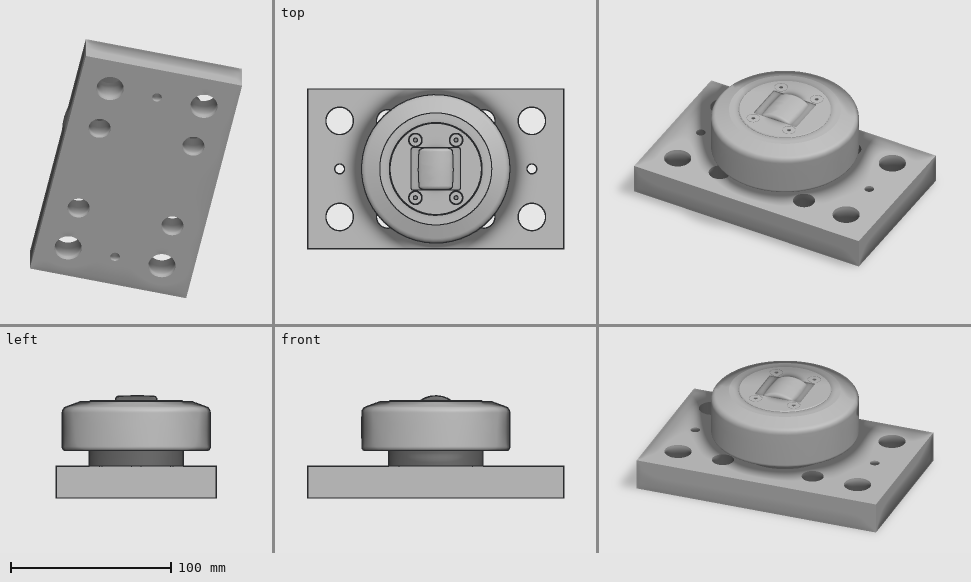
import cadquery as cq
import math

PLATE_LENGTH = 160.0
PLATE_WIDTH = 100.0
PLATE_THICKNESS = 20.0
OUTER_HOLE_DIAMETER = 17.0
OUTER_HOLE_X = 60.0
INNER_HOLE_DIAMETER = 13.84
INNER_HOLE_X = 30.0
HOLE_ROW_Y = 30.0
PIN_HOLE_DIAMETER = 6.0

NECK_DIAMETER = 59.0
ROLLER_DIAMETER = 92.5
ROLLER_BOTTOM_Z = 29.6
ROLLER_TOP_Z = 60.2
TOP_FACE_DIAMETER = 70.0
CROWN_RADIUS = 500.0
TOP_CONE_ANGLE = math.radians(20.0)
SHOULDER_RADIUS = 4.0
BOTTOM_EDGE_RADIUS = 2.4

COVER_DIAMETER = 58.0
COVER_TOP_Z = 61.0
COVER_CHAMFER = 0.5

WINDOW_LENGTH = 30.6
WINDOW_WIDTH = 26.6
WINDOW_CORNER_RADIUS = 1.0
WINDOW_DEPTH = 1.0
SIDE_ROLLER_RADIUS = 17.0
SIDE_ROLLER_FACE_WIDTH = 21.4
SIDE_ROLLER_EDGE_RADIUS = 2.3
SIDE_ROLLER_CROWN_RADIUS = 200.0
SIDE_ROLLER_TOP_Z = 64.0

SCREW_X = 12.7
SCREW_Y = 18.0
SCREW_HEAD_DIAMETER = 7.8
SCREW_SEAT_DIAMETER = 8.5
SCREW_SEAT_DEPTH = 0.3
SCREW_SOCKET_DIAMETER = 2.5
SCREW_SOCKET_DEPTH = 1.5


def mirrored_points(x, y):
    """Four points placed symmetrically about both axes."""
    return [(sx * x, sy * y) for sx in (-1, 1) for sy in (-1, 1)]


def cylinder(diameter, bottom_z, top_z, points=((0, 0),)):
    """Vertical cylinders between two heights at the given points."""
    return (
        cq.Workplane("XY", origin=(0, 0, bottom_z))
        .pushPoints(points)
        .circle(diameter / 2)
        .extrude(top_z - bottom_z)
    )


def base_plate():
    plate = cq.Workplane("XY").box(
        PLATE_LENGTH, PLATE_WIDTH, PLATE_THICKNESS, centered=(True, True, False)
    )
    outer_points = mirrored_points(OUTER_HOLE_X, HOLE_ROW_Y)
    inner_points = mirrored_points(INNER_HOLE_X, HOLE_ROW_Y)
    pin_points = [(-OUTER_HOLE_X, 0), (OUTER_HOLE_X, 0)]
    plate = plate.cut(cylinder(OUTER_HOLE_DIAMETER, 0, PLATE_THICKNESS, outer_points))
    plate = plate.cut(cylinder(INNER_HOLE_DIAMETER, 0, PLATE_THICKNESS, inner_points))
    return plate.cut(cylinder(PIN_HOLE_DIAMETER, 0, PLATE_THICKNESS, pin_points))


def main_roller():
    """Crowned roller with a rounded bottom edge and a rounded, conical top shoulder."""
    radius = ROLLER_DIAMETER / 2
    top_face_radius = TOP_FACE_DIAMETER / 2

    arc_center_r = radius - SHOULDER_RADIUS
    cone_end_r = arc_center_r + SHOULDER_RADIUS * math.sin(TOP_CONE_ANGLE)
    cone_end_z = ROLLER_TOP_Z - (cone_end_r - top_face_radius) * math.tan(TOP_CONE_ANGLE)
    arc_center_z = cone_end_z - SHOULDER_RADIUS * math.cos(TOP_CONE_ANGLE)
    middle_angle = math.pi / 4 - TOP_CONE_ANGLE / 2
    arc_middle = (
        arc_center_r + SHOULDER_RADIUS * math.cos(middle_angle),
        arc_center_z + SHOULDER_RADIUS * math.sin(middle_angle),
    )

    bottom_arc_end = (radius, ROLLER_BOTTOM_Z + BOTTOM_EDGE_RADIUS)
    profile = (
        cq.Workplane("XZ")
        .moveTo(0, ROLLER_BOTTOM_Z)
        .lineTo(radius - BOTTOM_EDGE_RADIUS, ROLLER_BOTTOM_Z)
        .radiusArc(bottom_arc_end, -BOTTOM_EDGE_RADIUS)
        .radiusArc((radius, arc_center_z), -CROWN_RADIUS)
        .threePointArc(arc_middle, (cone_end_r, cone_end_z))
        .lineTo(top_face_radius, ROLLER_TOP_Z)
        .lineTo(0, ROLLER_TOP_Z)
        .close()
    )
    return profile.revolve(360, (0, 0, 0), (0, 1, 0))


def cover():
    """Cover disc with a chamfered rim; it reaches down into the main roller."""
    disc = cylinder(COVER_DIAMETER, ROLLER_BOTTOM_Z, COVER_TOP_Z)
    return disc.faces(">Z").chamfer(COVER_CHAMFER)


def window_cut():
    return (
        cq.Workplane("XY", origin=(0, 0, COVER_TOP_Z - WINDOW_DEPTH))
        .rect(WINDOW_LENGTH, WINDOW_WIDTH)
        .extrude(WINDOW_DEPTH)
        .edges("|Z")
        .fillet(WINDOW_CORNER_RADIUS)
    )


def side_roller():
    """Crowned roller with rounded end edges, turned about its own axis."""
    half_face = SIDE_ROLLER_FACE_WIDTH / 2
    crown_chord_distance = math.sqrt(SIDE_ROLLER_CROWN_RADIUS**2 - half_face**2)
    crown_height = SIDE_ROLLER_CROWN_RADIUS - crown_chord_distance
    face_end_radius = SIDE_ROLLER_RADIUS - crown_height
    half_width = half_face + SIDE_ROLLER_EDGE_RADIUS
    side_radius = face_end_radius - SIDE_ROLLER_EDGE_RADIUS
    profile = (
        cq.Workplane("YZ")
        .moveTo(-half_width, 0)
        .lineTo(-half_width, side_radius)
        .radiusArc((-half_face, face_end_radius), SIDE_ROLLER_EDGE_RADIUS)
        .radiusArc((half_face, face_end_radius), SIDE_ROLLER_CROWN_RADIUS)
        .radiusArc((half_width, side_radius), SIDE_ROLLER_EDGE_RADIUS)
        .lineTo(half_width, 0)
        .close()
    )
    roller = profile.revolve(360, (0, 0, 0), (1, 0, 0))
    return roller.translate((0, 0, SIDE_ROLLER_TOP_Z - SIDE_ROLLER_RADIUS))


def screw_cuts():
    """Ring gap around each screw head, and the socket in its middle."""
    points = mirrored_points(SCREW_X, SCREW_Y)
    seat_z = COVER_TOP_Z - SCREW_SEAT_DEPTH
    gaps = cylinder(SCREW_SEAT_DIAMETER, seat_z, COVER_TOP_Z, points)
    gaps = gaps.cut(cylinder(SCREW_HEAD_DIAMETER, seat_z, COVER_TOP_Z, points))
    socket_z = COVER_TOP_Z - SCREW_SOCKET_DEPTH
    return gaps.union(cylinder(SCREW_SOCKET_DIAMETER, socket_z, COVER_TOP_Z, points))


neck = cylinder(NECK_DIAMETER, PLATE_THICKNESS, ROLLER_BOTTOM_Z)
body = base_plate().union(neck).union(main_roller()).union(cover())
result = body.cut(window_cut()).cut(screw_cuts()).union(side_roller())